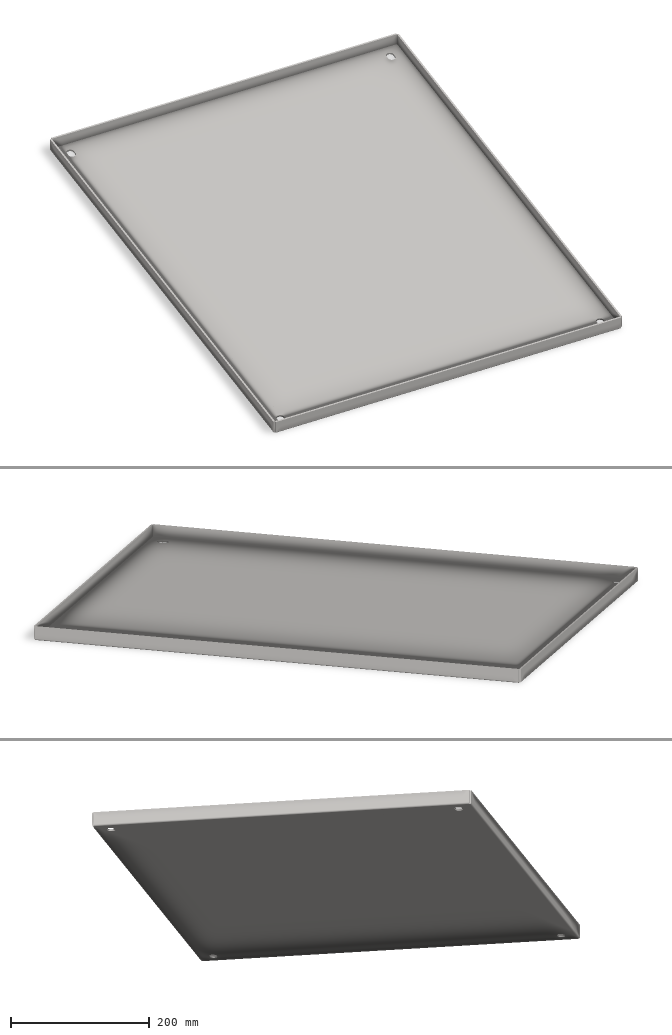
import cadquery as cq

length = 738.0
width = 560.0
height = 21.0

sheet = 2.65
bend_radius = 2.0
corner_relief = 2.7

slot_length = 17.0
slot_width = 11.0
slot_spacing_x = 689.5
slot_spacing_y = 514.0


def folded_sheet():
    """Shallow tray with sharp inner corners and rounded outer bottom edges."""
    outside = (
        cq.Workplane("XY")
        .rect(length, width)
        .extrude(height)
        .faces("<Z")
        .edges()
        .fillet(bend_radius)
    )
    cavity = (
        cq.Workplane("XY")
        .workplane(offset=sheet)
        .rect(length - 2 * sheet, width - 2 * sheet)
        .extrude(height - sheet)
    )
    return outside.cut(cavity)


def corner_notches():
    """Cutters that leave a gap between neighbouring walls at each corner."""
    return (
        cq.Workplane("XY")
        .rarray(length - corner_relief, width - corner_relief, 2, 2)
        .rect(corner_relief, corner_relief)
        .extrude(height)
    )


def mounting_slots():
    """Cutters for the four slots, passing right through the floor."""
    return (
        cq.Workplane("XY")
        .rarray(slot_spacing_x, slot_spacing_y, 2, 2)
        .slot2D(slot_length, slot_width)
        .extrude(height)
    )


result = folded_sheet().cut(corner_notches()).cut(mounting_slots())